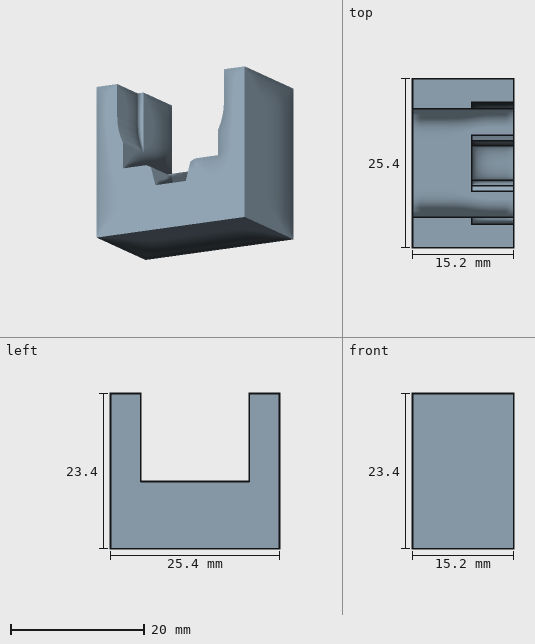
import cadquery as cq
import math

length_x = 15.24
width_y = 25.4
height_z = 23.368

channel_width = 16.256
channel_floor_z = 10.16

seat_start_x = 8.89
seat_radius = 9.144
seat_axis_z = 18.288

groove_half_width = 3.39
groove_floor_z = 6.858
groove_side_angle = 15.0

seat_length = length_x - seat_start_x


def make_block():
    return cq.Workplane("XY").box(length_x, width_y, height_z, centered=(False, True, False))


def make_channel():
    depth = height_z - channel_floor_z
    channel = cq.Workplane("XY").box(length_x, channel_width, depth, centered=(False, True, False))
    return channel.translate((0, 0, channel_floor_z))


def seat_workplane():
    return cq.Workplane("YZ", origin=(seat_start_x, 0, 0))


def make_seat():
    """U-shaped cutter: straight sides above the axis, a half circle below it."""
    return (
        seat_workplane()
        .moveTo(-seat_radius, height_z)
        .lineTo(-seat_radius, seat_axis_z)
        .threePointArc((0, seat_axis_z - seat_radius), (seat_radius, seat_axis_z))
        .lineTo(seat_radius, height_z)
        .close()
        .extrude(seat_length)
    )


def make_groove():
    """Trapezoidal cutter whose sides start on the seat arc."""
    slope = math.tan(math.radians(groove_side_angle))
    rim_z = seat_axis_z - math.sqrt(seat_radius**2 - groove_half_width**2)
    floor_half_width = groove_half_width - (rim_z - groove_floor_z) * slope
    return (
        seat_workplane()
        .polyline(
            [
                (-groove_half_width, rim_z),
                (-floor_half_width, groove_floor_z),
                (floor_half_width, groove_floor_z),
                (groove_half_width, rim_z),
            ]
        )
        .close()
        .extrude(seat_length)
    )


result = make_block().cut(make_channel()).cut(make_seat()).cut(make_groove())